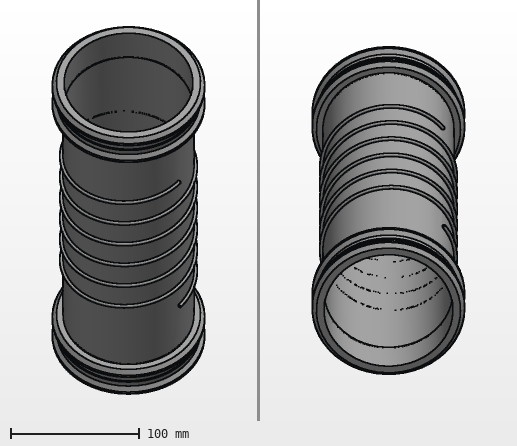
import cadquery as cq

total_length = 308.8
bore_diameter = 100.0
tube_diameter = 101.8

flange_diameter = 118.4
band_diameter = 111.8
flange_land = 2.4
band_width = 11.2
bead_height = 0.5
bead_width = 1.5
bevel = (flange_diameter - band_diameter) / 2
flange_width = flange_land + 2 * bevel
collar_length = 2 * flange_width + band_width

rib_pitch = 25.0
rib_turns = 6
rib_wire_radius = 1.35
rib_centre_offset = 1.2
rib_length = rib_pitch * rib_turns

bore_radius = bore_diameter / 2
tube_radius = tube_diameter / 2
rib_centre_radius = tube_radius + rib_centre_offset
band_radius = band_diameter / 2
flange_radius = flange_diameter / 2
tube_length = total_length - 2 * collar_length


def make_collar(bottom):
    """Ring with its lower face at height bottom, revolved about Z."""
    bead_centre = bottom + collar_length / 2
    upper_flange = bottom + flange_width + band_width
    top = bottom + collar_length
    return (
        cq.Workplane("XZ")
        .moveTo(bore_radius, bottom)
        .lineTo(band_radius, bottom)
        .lineTo(flange_radius, bottom + bevel)
        .lineTo(flange_radius, bottom + bevel + flange_land)
        .lineTo(band_radius, bottom + flange_width)
        .lineTo(band_radius, bead_centre - bead_width / 2)
        .lineTo(band_radius + bead_height, bead_centre)
        .lineTo(band_radius, bead_centre + bead_width / 2)
        .lineTo(band_radius, upper_flange)
        .lineTo(flange_radius, upper_flange + bevel)
        .lineTo(flange_radius, upper_flange + bevel + flange_land)
        .lineTo(band_radius, top)
        .lineTo(bore_radius, top)
        .close()
        .revolve(360, (0, 0, 0), (0, 1, 0))
    )


def make_rib():
    """Right-handed wire spiral that starts and ends on the +X side."""
    start = -rib_length / 2
    path = cq.Wire.makeHelix(rib_pitch, rib_length, rib_centre_radius).translate(cq.Vector(0, 0, start))
    return (
        cq.Workplane("XZ")
        .center(rib_centre_radius, start)
        .circle(rib_wire_radius)
        .sweep(cq.Workplane(path), isFrenet=True)
    )


def make_tube():
    """Thin pipe between the collars, with the spiral rib joined to its outside."""
    plane = cq.Workplane("XY", origin=(0, 0, -tube_length / 2))
    pipe = plane.circle(tube_radius).extrude(tube_length)
    bore = plane.circle(bore_radius).extrude(tube_length)
    return pipe.union(make_rib()).cut(bore)


tube = make_tube()
collar_bottoms = (-total_length / 2, tube_length / 2)
collars = [make_collar(bottom) for bottom in collar_bottoms]

result = cq.Compound.makeCompound([tube.val(), *[collar.val() for collar in collars]])